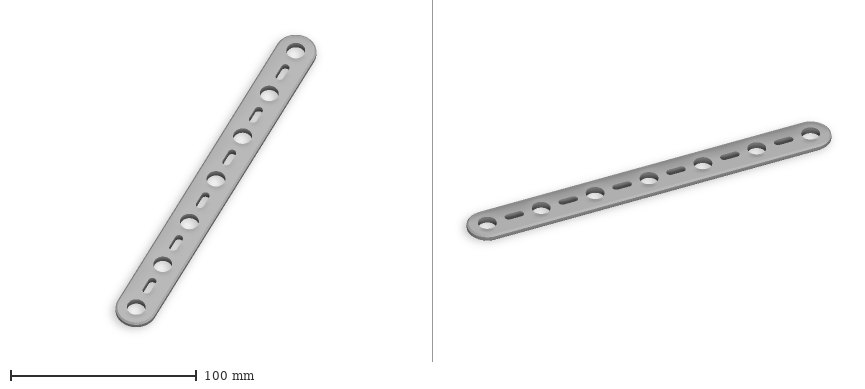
import cadquery as cq

length = 212.1
width = 22.3
thickness = 4.0
edge_chamfer = 0.95

hole_count = 7
hole_diameter = 10.2
slot_length = 11.0
slot_width = 4.5

hole_pitch = (length - width) / (hole_count - 1)


def row_points(count):
    """Centres of evenly pitched features along Y, centred on the bar."""
    return [(0, (i - (count - 1) / 2) * hole_pitch) for i in range(count)]


def make_bar():
    """Flat bar with semicircular ends and chamfered top and bottom rims."""
    bar = cq.Workplane("XY").slot2D(length, width, 90).extrude(thickness)
    return bar.faces("<Z or >Z").edges().chamfer(edge_chamfer)


def make_round_holes():
    centres = row_points(hole_count)
    return cq.Workplane("XY").pushPoints(centres).circle(hole_diameter / 2).extrude(thickness)


def make_slots():
    centres = row_points(hole_count - 1)
    return cq.Workplane("XY").pushPoints(centres).slot2D(slot_length, slot_width, 90).extrude(thickness)


result = make_bar().cut(make_round_holes()).cut(make_slots())